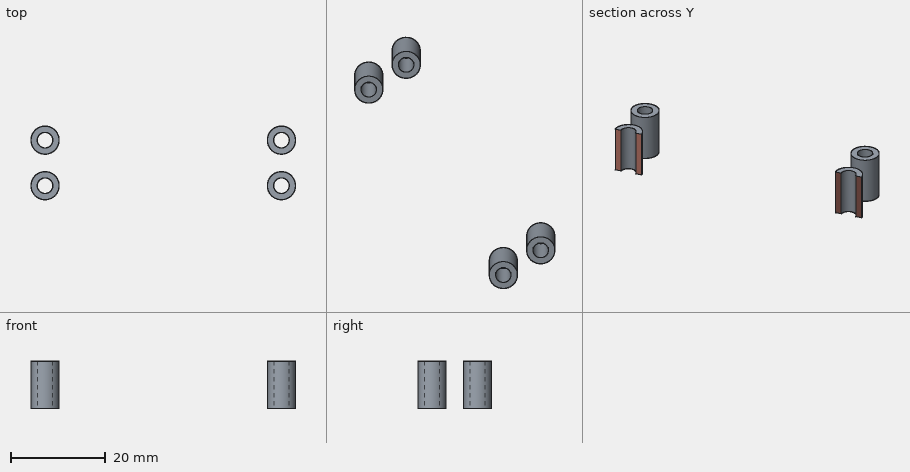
import cadquery as cq

overall_length = 56.0
overall_width = 15.6
spacer_height = 10.0

outer_diameter = 6.0
bore_diameter = 3.25

spacing_x = overall_length - outer_diameter
spacing_y = overall_width - outer_diameter


def make_spacer(x, y):
    """Plain tubular spacer standing on the XY plane, with its axis at (x, y)."""
    return (
        cq.Workplane("XY")
        .center(x, y)
        .circle(outer_diameter / 2)
        .circle(bore_diameter / 2)
        .extrude(spacer_height)
    )


spacers = []
for x in (-spacing_x / 2, spacing_x / 2):
    for y in (-spacing_y / 2, spacing_y / 2):
        spacers.append(make_spacer(x, y))

result = cq.Compound.makeCompound([spacer.val() for spacer in spacers])